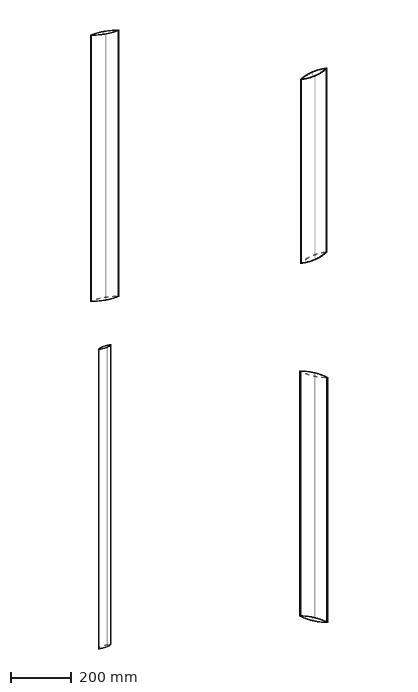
import cadquery as cq
import math

length = 1000.0
chord = 100.0
thickness = 20.0
wall = 2.0
tip_radius = 1.0

half_chord = chord / 2
rise = thickness / 2
tip_centre = half_chord - tip_radius
outer_radius = (rise**2 + tip_centre**2 - tip_radius**2) / (2 * (rise - tip_radius))
centre_offset = outer_radius - rise
tangent_angle = math.asin(tip_centre / (outer_radius - tip_radius))

inner_radius = outer_radius - wall
inner_angle = math.acos(centre_offset / inner_radius)


def wall_point(radius, side, angle):
    """Point on the wall arc of one side, at a signed angle from mid-chord."""
    return side * (radius * math.cos(angle) - centre_offset), radius * math.sin(angle)


def lens_prism(radius, half_angle, tip=None):
    """Lens section with each wall split at mid-chord, extruded along Z.

    With a tip distance given, the walls are joined by rounds reaching that far.
    """
    outline = cq.Workplane("XY").moveTo(*wall_point(radius, 1, -half_angle))
    for side in (1, -1):
        for start in (-1, 0):
            middle = wall_point(radius, side, side * (start + 0.5) * half_angle)
            end = wall_point(radius, side, side * (start + 1) * half_angle)
            outline = outline.threePointArc(middle, end)
        if tip is not None:
            next_wall = wall_point(radius, -side, side * half_angle)
            outline = outline.threePointArc((0, side * tip), next_wall)
    return outline.close().extrude(length, clean=False)


outer_body = lens_prism(outer_radius, tangent_angle, half_chord)
cavity = lens_prism(inner_radius, inner_angle)
result = outer_body.cut(cavity, clean=False)